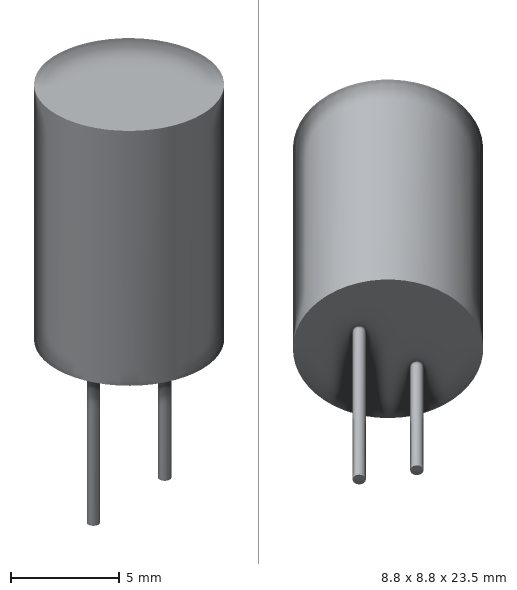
import cadquery as cq

total_height = 23.5
can_diameter = 8.8
can_height = 13.5
lead_diameter = 0.6
lead_spacing = 3.48
short_lead_length = 7.0

long_lead_length = total_height - can_height


def make_can():
    """Plain cylindrical can standing on the plane Z = 0."""
    return cq.Workplane("XY").circle(can_diameter / 2).extrude(can_height)


def make_lead(x, length):
    """Straight round lead hanging from the underside of the can."""
    return cq.Workplane("XY").center(x, 0).circle(lead_diameter / 2).extrude(-length)


can = make_can()

lead_layout = [
    (-lead_spacing / 2, long_lead_length),
    (lead_spacing / 2, short_lead_length),
]
leads = []
for lead_x, lead_length in lead_layout:
    leads.append(make_lead(lead_x, lead_length).val())

result = cq.Compound.makeCompound([can.val(), *leads])